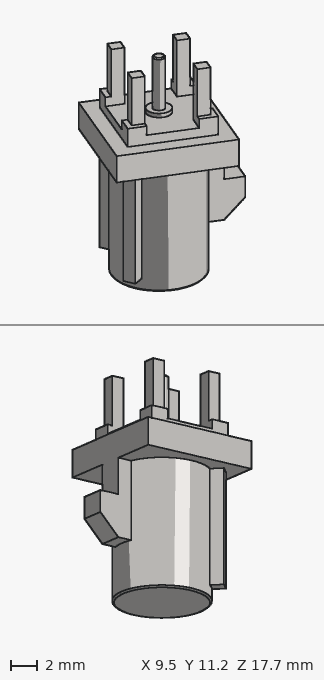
import cadquery as cq

total_height = 17.7
post_foot_z = 13.8
deck_z = 13.06
flange_top_z = 12.3
flange_bottom_z = 10.12

flange_width = 9.5
base_width = 7.03
barrel_diameter = 7.42
barrel_chamfer = 0.15

post_inner_offset = 2.04
post_width = 1.03
foot_width = base_width / 2 - post_inner_offset

rib_angles = (-135, -45)
rib_width = 1.03
rib_reach = 4.73
rib_bottom_z = 1.03

latch_width = 2.0
latch_projection = 1.65
latch_bottom_z = 3.91
latch_shelf_z = 7.27
latch_ramp_height = latch_projection

pin_diameter = 0.97
pin_chamfer = 0.1
collar_diameter = 1.98
collar_height = 0.34


def make_block(width_x, width_y, bottom_z, top_z, center=(0, 0)):
    """Upright block between two heights."""
    return (
        cq.Workplane("XY", origin=(*center, bottom_z))
        .rect(width_x, width_y)
        .extrude(top_z - bottom_z)
    )


def make_barrel():
    """Round barrel with a chamfered lower rim."""
    return (
        cq.Workplane("XY")
        .circle(barrel_diameter / 2)
        .extrude(flange_bottom_z)
        .faces("<Z")
        .chamfer(barrel_chamfer)
    )


def make_rib(angle):
    """Radial keying rib, running from the barrel axis outward."""
    rib = make_block(rib_reach, rib_width, rib_bottom_z, flange_bottom_z, (rib_reach / 2, 0))
    return rib.rotate((0, 0, 0), (0, 0, 1), angle)


def make_latch():
    """Latch arm below the flange, ending in a hook with a sloping lead-in."""
    arm_y = flange_width / 2
    hook_y = arm_y + latch_projection
    return (
        cq.Workplane("YZ", origin=(-latch_width / 2, 0, 0))
        .moveTo(0, latch_bottom_z)
        .lineTo(arm_y, latch_bottom_z)
        .lineTo(hook_y, latch_bottom_z + latch_ramp_height)
        .lineTo(hook_y, latch_shelf_z)
        .lineTo(arm_y, latch_shelf_z)
        .lineTo(arm_y, flange_bottom_z)
        .lineTo(0, flange_bottom_z)
        .close()
        .extrude(latch_width)
    )


def make_corner_post(side_x, side_y):
    """Square foot in one corner of the deck, carrying a solder post."""
    foot_offset = post_inner_offset + foot_width / 2
    post_offset = post_inner_offset + post_width / 2
    foot_center = (side_x * foot_offset, side_y * foot_offset)
    post_center = (side_x * post_offset, side_y * post_offset)
    foot = make_block(foot_width, foot_width, deck_z, post_foot_z, foot_center)
    post = make_block(post_width, post_width, post_foot_z, total_height, post_center)
    return foot.union(post)


def make_housing():
    """Flange, base, barrel, latch, ribs and solder posts as one body."""
    body = make_block(flange_width, flange_width, flange_bottom_z, flange_top_z)
    body = body.union(make_block(base_width, base_width, flange_top_z, deck_z))
    body = body.union(make_barrel())
    body = body.union(make_latch())
    for angle in rib_angles:
        body = body.union(make_rib(angle))
    for side_x in (-1, 1):
        for side_y in (-1, 1):
            body = body.union(make_corner_post(side_x, side_y))
    return body


def make_contact_pin():
    """Contact pin with a chamfered tip and a collar resting on the deck."""
    collar = cq.Workplane("XY", origin=(0, 0, deck_z)).circle(collar_diameter / 2).extrude(collar_height)
    shaft = (
        cq.Workplane("XY", origin=(0, 0, deck_z))
        .circle(pin_diameter / 2)
        .extrude(total_height - deck_z)
        .faces(">Z")
        .chamfer(pin_chamfer)
    )
    return collar.union(shaft)


housing = make_housing()
contact_pin = make_contact_pin()

result = cq.Compound.makeCompound([housing.val(), contact_pin.val()])